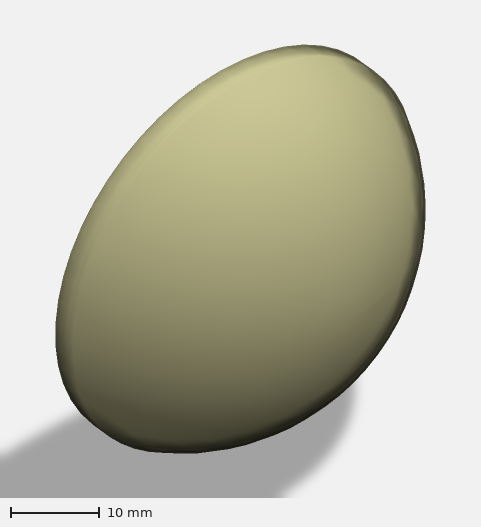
import cadquery as cq
import math

diameter = 50.8
center_thickness = 19.8
dome_radius = 27.55
back_chamfer = 0.2
front_edge_fillet = 1.0

rim_radius = diameter / 2
dome_sag = dome_radius - math.sqrt(dome_radius**2 - rim_radius**2)
edge_thickness = center_thickness - dome_sag

dome_center_x = center_thickness - dome_radius
half_angle = math.asin(rim_radius / dome_radius) / 2
dome_mid = (
    dome_center_x + dome_radius * math.cos(half_angle),
    dome_radius * math.sin(half_angle),
)

lens = (
    cq.Workplane("XY")
    .lineTo(0, rim_radius - back_chamfer)
    .lineTo(back_chamfer, rim_radius)
    .lineTo(edge_thickness, rim_radius)
    .threePointArc(dome_mid, (center_thickness, 0))
    .close()
    .revolve(360, (0, 0, 0), (1, 0, 0))
)

edge_tolerance = 0.05
rim_selector = cq.selectors.BoxSelector(
    (edge_thickness - edge_tolerance, -diameter, -diameter),
    (edge_thickness + edge_tolerance, diameter, diameter),
)
result = lens.edges(rim_selector).fillet(front_edge_fillet)